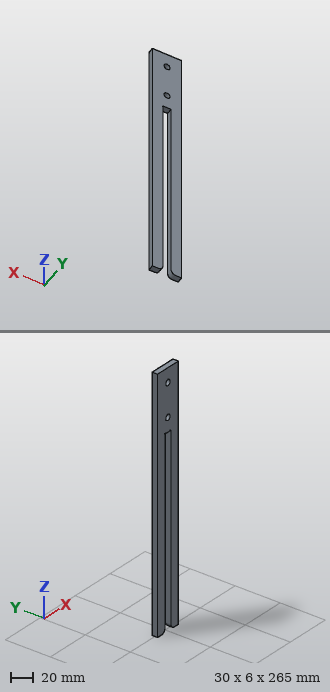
import cadquery as cq

length = 265.0
width = 30.0
thickness = 6.0

slot_width = 8.2
solid_head_length = 65.0

tip_radius = 5.0
selection_margin = 0.3

hole_diameter = 6.0
first_hole_depth = 15.0
hole_spacing = 35.0

slot_length = length - solid_head_length
top = length / 2
bottom = -length / 2


def make_bar():
    return cq.Workplane("XY").box(width, thickness, length)


def cut_slot(body):
    slot_center = bottom + slot_length / 2
    slot = cq.Workplane("XY").box(slot_width, thickness, slot_length).translate((0, 0, slot_center))
    return body.cut(slot)


def round_prong_tips(body):
    reach = slot_width / 2 + selection_margin
    mouth = cq.selectors.BoxSelector(
        (-reach, -thickness, bottom - selection_margin),
        (reach, thickness, bottom + selection_margin),
    )
    return body.edges("|Y").edges(mouth).fillet(tip_radius)


def drill_holes(body):
    first_hole = top - first_hole_depth
    centers = [(0, first_hole), (0, first_hole - hole_spacing)]
    drills = (
        cq.Workplane("XZ")
        .pushPoints(centers)
        .circle(hole_diameter / 2)
        .extrude(thickness, both=True)
    )
    return body.cut(drills)


result = drill_holes(round_prong_tips(cut_slot(make_bar())))